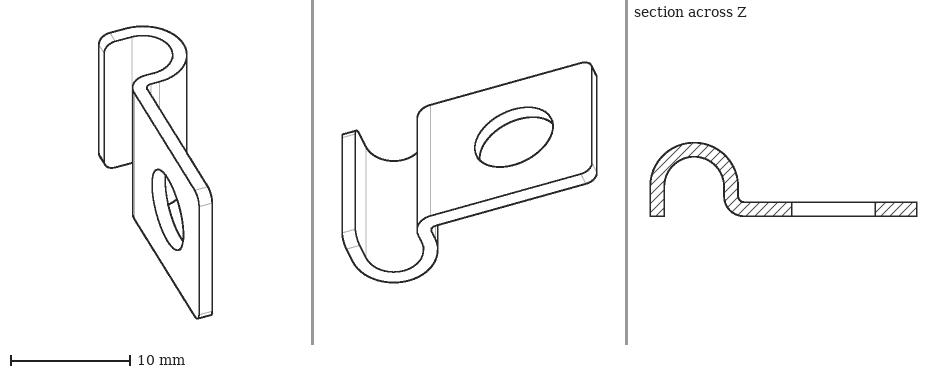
import cadquery as cq
import math

overall_length = 22.4
strip_width = 14.0
thickness = 1.2
loop_inner_radius = 2.5
plate_drop = 2.5
bend_inner_radius = 0.5
corner_radius = 1.0
hole_diameter = 7.0
hole_to_plate_end = 7.0

loop_outer_radius = loop_inner_radius + thickness
bend_outer_radius = bend_inner_radius + thickness
plate_end_x = overall_length - loop_outer_radius
plate_outer_y = -plate_drop
plate_inner_y = plate_outer_y + thickness
bend_center_x = loop_outer_radius + bend_inner_radius
bend_center_y = plate_outer_y + bend_outer_radius
hole_x = plate_end_x - hole_to_plate_end


def bend_midpoint(radius):
    """Point halfway along the quarter bend at the given radius."""
    offset = radius * math.sqrt(0.5)
    return (bend_center_x - offset, bend_center_y - offset)


def bent_strip():
    """Sheet strip: lip, half-round loop, short leg, bend and flat plate."""
    profile = (
        cq.Workplane("XY", origin=(0, 0, -strip_width / 2))
        .moveTo(-loop_outer_radius, -plate_drop)
        .lineTo(-loop_outer_radius, 0)
        .threePointArc((0, loop_outer_radius), (loop_outer_radius, 0))
        .lineTo(loop_outer_radius, bend_center_y)
        .threePointArc(bend_midpoint(bend_inner_radius), (bend_center_x, plate_inner_y))
        .lineTo(plate_end_x, plate_inner_y)
        .lineTo(plate_end_x, plate_outer_y)
        .lineTo(bend_center_x, plate_outer_y)
        .threePointArc(bend_midpoint(bend_outer_radius), (loop_inner_radius, bend_center_y))
        .lineTo(loop_inner_radius, 0)
        .threePointArc((0, loop_inner_radius), (-loop_inner_radius, 0))
        .lineTo(-loop_inner_radius, -plate_drop)
        .close()
    )
    return profile.extrude(strip_width)


def round_corners(strip):
    """Round the corners at the plate's free end and at the lip's free end."""
    strip = strip.faces(">X").edges("|Y").fillet(corner_radius)
    return strip.edges("|X").edges("<X").fillet(corner_radius)


def mounting_hole():
    """Cutter for the round hole through the plate."""
    return (
        cq.Workplane("XZ", origin=(hole_x, plate_inner_y, 0))
        .circle(hole_diameter / 2)
        .extrude(thickness)
    )


result = round_corners(bent_strip()).cut(mounting_hole())